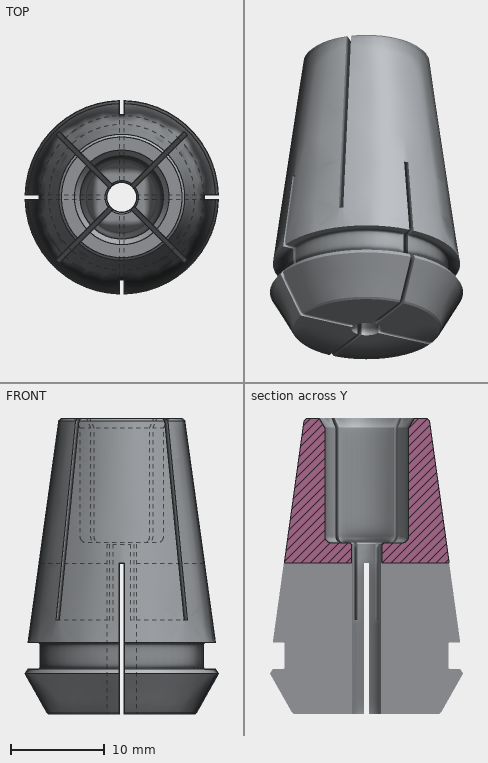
import cadquery as cq

height = 31.5
flange_radius = 10.3

base_radius = 7.78
base_chamfer_width = 0.2
base_chamfer_height = 0.2
flange_rim_z = 4.3
flange_top_z = 4.8
flange_top_radius = 10.0

groove_radius = 8.73
groove_top_z = 7.62
groove_fillet = 0.2

taper_base_radius = 10.0
taper_top_radius = 6.7
top_chamfer_width = 0.28
top_chamfer_height = 0.25

relief_radius = 4.45
relief_floor_z = 18.27
relief_floor_fillet = 0.65
relief_mouth_width = 0.6
relief_mouth_depth = 1.0
hole_radius = 3.18 / 2
hole_chamfer = 0.2

base_slit_width = 0.5
base_slit_end_z = 16.05
top_slit_width = 0.5
top_slit_floor_z = 10.02
slit_length = 2.2 * flange_radius


def make_body():
    """Revolve the outer outline into a solid."""
    outline = (
        cq.Workplane("XZ")
        .lineTo(base_radius, 0)
        .lineTo(base_radius + base_chamfer_width, base_chamfer_height)
        .lineTo(flange_radius, flange_rim_z)
        .lineTo(flange_top_radius, flange_top_z)
        .lineTo(groove_radius + groove_fillet, flange_top_z)
        .radiusArc((groove_radius, flange_top_z + groove_fillet), groove_fillet)
        .lineTo(groove_radius, groove_top_z - groove_fillet)
        .radiusArc((groove_radius + groove_fillet, groove_top_z), groove_fillet)
        .lineTo(taper_base_radius, groove_top_z)
        .lineTo(taper_top_radius, height - top_chamfer_height)
        .lineTo(taper_top_radius - top_chamfer_width, height)
        .lineTo(0, height)
        .close()
    )
    return outline.revolve(360, (0, 0, 0), (0, 1, 0))


def make_bore():
    """Revolve the through hole, rounded relief and their chamfers."""
    outline = (
        cq.Workplane("XZ")
        .lineTo(hole_radius, 0)
        .lineTo(hole_radius, relief_floor_z - hole_chamfer)
        .lineTo(hole_radius + hole_chamfer, relief_floor_z)
        .lineTo(relief_radius - relief_floor_fillet, relief_floor_z)
        .radiusArc((relief_radius, relief_floor_z + relief_floor_fillet), -relief_floor_fillet)
        .lineTo(relief_radius, height - relief_mouth_depth)
        .lineTo(relief_radius + relief_mouth_width, height)
        .lineTo(0, height)
        .close()
    )
    return outline.revolve(360, (0, 0, 0), (0, 1, 0))


def make_slit_cross(width, bottom_z, top_z, first_angle):
    """Two perpendicular slits through the axis."""
    slit = (
        cq.Workplane("XY")
        .workplane(offset=bottom_z)
        .rect(slit_length, width)
        .extrude(top_z - bottom_z)
        .rotate((0, 0, 0), (0, 0, 1), first_angle)
    )
    return slit.union(slit.rotate((0, 0, 0), (0, 0, 1), 90))


base_slits = make_slit_cross(base_slit_width, 0, base_slit_end_z, 0)
top_slits = make_slit_cross(top_slit_width, top_slit_floor_z, height, 45)

result = make_body().cut(make_bore()).cut(base_slits).cut(top_slits)